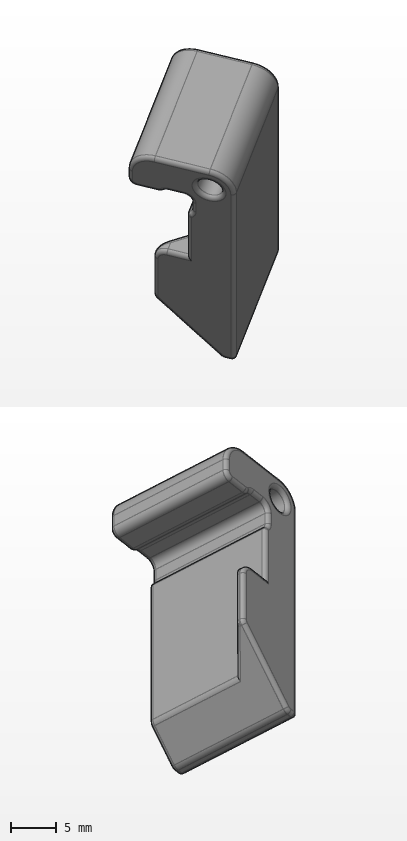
import cadquery as cq
import math


depth = 12.3
width = 16.4
height = 32.0

plate_thickness = 5.5
foot_thickness = 1.5
lip_drop = 5.5
crown_radius = 3.0
corner_radius = 1.0
edge_radius = 0.5

relief = 0.5
relief_length = 3.6
relief_height = 3.5
relief_corner_radius = 0.3

hole_diameter = 2.9

catch_reach = 3.85
catch_width = 3.9
catch_tip_width = 0.85
catch_drop = 15.75
catch_top_radius = 1.5

plate_x = -plate_thickness
lip_z = height - lip_drop
slope_top_z = plate_thickness - foot_thickness
catch_x = plate_x - catch_reach
catch_top_z = height - catch_drop
catch_low_z = slope_top_z + catch_reach
relief_x = plate_x + relief
relief_top_z = lip_z + relief
relief_low_z = relief_top_z - relief_height


def extrude_along_y(points, length):
    """Extrude an XZ outline from Y = 0 toward +Y."""
    return cq.Workplane("XZ").polyline(points).close().extrude(-length)


def edges_near(solid, x, z):
    """Select the edge parallel to Y that passes nearest to (x, z)."""
    return solid.edges("|Y").edges(cq.NearestToPointSelector((x, width / 2, z)))


def make_body():
    body = extrude_along_y(
        [
            (0, 0),
            (-foot_thickness, 0),
            (plate_x, slope_top_z),
            (plate_x, lip_z),
            (-depth, lip_z),
            (-depth, height),
            (0, height),
        ],
        width,
    )
    rounded_corners = [
        (0, 0, edge_radius),
        (-foot_thickness, 0, corner_radius),
        (plate_x, slope_top_z, corner_radius),
        (-depth, lip_z, corner_radius),
        (-depth, height, crown_radius),
        (0, height, crown_radius),
    ]
    for x, z, radius in rounded_corners:
        body = edges_near(body, x, z).fillet(radius)
    return body


def cut_relief(body):
    left_x = relief_x - relief_length
    groove = extrude_along_y(
        [
            (relief_x, relief_low_z),
            (left_x, relief_low_z),
            (left_x, relief_top_z),
            (relief_x, relief_top_z),
        ],
        width,
    )
    body = body.cut(groove.edges("|Y").fillet(corner_radius))
    run_out = math.sqrt(corner_radius**2 - (corner_radius - relief) ** 2)
    lip_edge_x = left_x + corner_radius - run_out
    plate_edge_z = relief_low_z + corner_radius - run_out
    body = edges_near(body, lip_edge_x, lip_z).fillet(corner_radius)
    return edges_near(body, plate_x, plate_edge_z).fillet(relief_corner_radius)


def make_catch():
    """Wedge that tapers from its tip at the front side into the plate; its root is buried in the plate."""
    root_x = -foot_thickness - corner_radius
    taper = (catch_width - catch_tip_width) / (plate_x - catch_x)
    root_y = catch_tip_width + taper * (root_x - catch_x)
    catch = extrude_along_y(
        [
            (root_x, -root_x - foot_thickness),
            (catch_x, catch_low_z),
            (catch_x, catch_top_z),
            (root_x, catch_top_z),
        ],
        root_y,
    )
    catch = edges_near(catch, catch_x, catch_top_z).fillet(catch_top_radius)
    catch = edges_near(catch, catch_x, catch_low_z).fillet(corner_radius)
    plan = (
        cq.Workplane("XY")
        .polyline([(root_x, 0), (catch_x, 0), (catch_x, catch_tip_width), (root_x, root_y)])
        .close()
        .extrude(height)
    )
    tapered = catch.intersect(plan)
    taper_rim = tapered.faces(">Y").edges("not >X")
    return taper_rim.fillet(edge_radius)


def round_sides(part):
    """Round the whole rim of the front and back sides."""
    return part.faces("<Y or >Y").edges().fillet(edge_radius)


def cut_pivot_hole(part):
    hole = (
        cq.Workplane("XZ")
        .center(-crown_radius, height - crown_radius)
        .circle(hole_diameter / 2)
        .extrude(-width)
    )
    return part.cut(hole)


body = cut_relief(make_body())
part = body.union(make_catch())
result = round_sides(cut_pivot_hole(part))